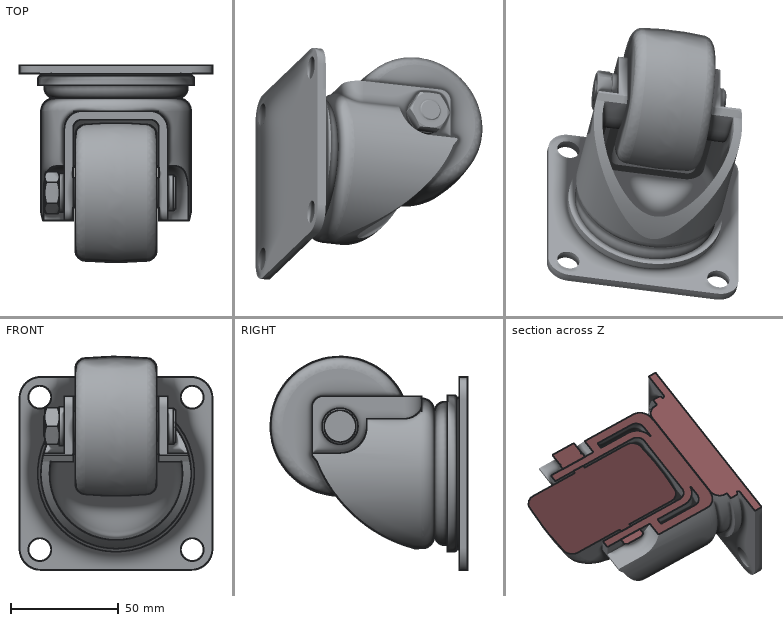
import cadquery as cq
import math


plate_size = 90.0
plate_thickness = 4.0
plate_corner_radius = 10.0
bolt_hole_spacing = 71.0
bolt_hole_diameter = 10.5

race_radius = 36.5
race_edge_fillet = 1.5
race_start = 5.0
race_end = 9.5
bell_radius = 33.5
bell_fillet = 5.0
bell_end = 15.5

sheet = 4.0
cup_radius = 35.0
cup_outer_fillet = 6.0
cup_floor_fillet = 3.75
strap_half_width = 24.0
strap_bend_radius = 8.0
strap_corner_radius = 5.0
strap_above_axle = 14.0
strap_margin = 13.0
pocket_radius = 12.5
shelf_nose_height = 1.1
skirt_arc_radius = 68.0
skirt_arc_start = 24.5
skirt_arc_end = 70.3

axle_y = -59.5
axle_z = 22.0
wheel_radius = 32.5
wheel_half_width = 19.0
crown_radius = 150.0
wheel_edge_fillet = 5.0
hub_radius = 7.0

shank_radius = 5.0
shank_end_chamfer = 0.5
shank_protrusion = 0.5
head_radius = 8.4
head_thickness = 3.75
head_chamfer = 1.0
flange_radius = 9.0
flange_thickness = 2.4
nut_flats = 17.0
nut_thickness = 6.8
nut_chamfer_angle = 30.0

cup_inner_radius = cup_radius - sheet
strap_start = bell_end + cup_outer_fillet
cup_floor = strap_start
strap_face = strap_start + sheet
strap_inner = strap_half_width - sheet
strap_top = axle_z + strap_above_axle
strap_bottom = axle_z - strap_margin
fork_end = strap_margin - axle_y
pocket_floor = axle_z - pocket_radius
shelf_underside = pocket_floor - sheet
shelf_nose_bottom = pocket_floor - shelf_nose_height
nut_face = strap_half_width + flange_thickness + nut_thickness
clearance = 10.0


def disc_along_y(radius, start, end):
    """Cylinder on the swivel axis between two depths below the mounting face."""
    return cq.Workplane("XZ").workplane(offset=start).circle(radius).extrude(end - start)


def disc_along_x(radius, start, end):
    """Cylinder on the wheel axle between two X positions."""
    plane = cq.Workplane("YZ", origin=(start, axle_y, axle_z))
    return plane.circle(radius).extrude(end - start)


def box_between(x_range, y_range, z_range):
    """Box given by its lower and upper limit along each axis."""
    sizes = [upper - lower for lower, upper in (x_range, y_range, z_range)]
    corner = (x_range[0], y_range[0], z_range[0])
    return cq.Workplane("XY").box(*sizes, centered=False).translate(corner)


def make_neck():
    """Concave collar flaring from the race's back edge onto the plate."""
    neck_radius = race_radius - race_edge_fillet
    flare = race_start - plate_thickness
    return (
        cq.Workplane("XY")
        .moveTo(0, -plate_thickness)
        .lineTo(neck_radius + flare, -plate_thickness)
        .radiusArc((neck_radius, -race_start), -flare)
        .lineTo(0, -race_start)
        .close()
        .revolve(360, (0, 0, 0), (0, 1, 0))
    )


def make_plate():
    plate = cq.Workplane("XZ").rect(plate_size, plate_size).extrude(plate_thickness)
    plate = plate.edges("|Y").fillet(plate_corner_radius)
    plate = (
        plate.faces("<Y").workplane()
        .rect(bolt_hole_spacing, bolt_hole_spacing, forConstruction=True)
        .vertices().hole(bolt_hole_diameter)
    )
    neck = make_neck()
    race = disc_along_y(race_radius, race_start, race_end).faces(">Y").edges().fillet(race_edge_fillet)
    bell = disc_along_y(bell_radius, race_end, bell_end).faces("<Y").edges().fillet(bell_fillet)
    return plate.union(neck).union(race).union(bell)


def fork_side_outline():
    """Prism along X that trims the fork to its profile across the axle."""
    skirt_top = cq.Vector(-skirt_arc_end, shelf_underside)
    skirt_foot = cq.Vector(-skirt_arc_start, -cup_radius)
    chord = skirt_top - skirt_foot
    sagitta = skirt_arc_radius - math.sqrt(skirt_arc_radius ** 2 - (chord.Length / 2) ** 2)
    outward = cq.Vector(-chord.y, chord.x).normalized()
    skirt_middle = (skirt_top + skirt_foot) * 0.5 + outward * sagitta
    return (
        cq.Workplane("YZ")
        .moveTo(-bell_end, strap_top)
        .lineTo(-bell_end, -cup_radius)
        .lineTo(skirt_foot.x, skirt_foot.y)
        .threePointArc((skirt_middle.x, skirt_middle.y), (skirt_top.x, skirt_top.y))
        .lineTo(-fork_end, shelf_nose_bottom)
        .lineTo(-fork_end, strap_top - strap_corner_radius)
        .radiusArc((-fork_end + strap_corner_radius, strap_top), strap_corner_radius)
        .close()
        .extrude(cup_radius, both=True)
    )


def strap_block(half_width, start, bend_radius, bottom, top):
    """Block filling a U outline open towards -Y, with its two bends rounded."""
    block = box_between(
        (-half_width, half_width), (-fork_end - clearance, -start), (bottom, top)
    )
    return block.edges("|Z and >Y").fillet(bend_radius)


def side_pockets(inner_x, growth):
    """Pair of recesses around the axle ends, widened all round by growth."""
    radius = pocket_radius + growth
    ceiling = strap_top + clearance
    depth = cup_radius + clearance - inner_x
    pocket = (
        cq.Workplane("YZ", origin=(inner_x, 0, 0))
        .moveTo(axle_y + radius, ceiling)
        .lineTo(axle_y + radius, axle_z)
        .radiusArc((axle_y, axle_z - radius), radius)
        .lineTo(-fork_end - clearance, axle_z - radius)
        .lineTo(-fork_end - clearance, ceiling)
        .close()
        .extrude(depth)
    )
    return pocket.union(pocket.mirror("YZ"))


def make_fork():
    cup = disc_along_y(cup_radius, bell_end, fork_end).faces(">Y").edges().fillet(cup_outer_fillet)
    strap = strap_block(strap_half_width, strap_start, strap_bend_radius, strap_bottom, strap_top)
    body = cup.union(strap).intersect(fork_side_outline())
    body = body.cut(side_pockets(strap_half_width, 0))

    slot_top = strap_top + clearance
    slot_bend_radius = strap_bend_radius - sheet
    slot = strap_block(strap_inner, strap_face, slot_bend_radius, strap_bottom, slot_top)
    hollow = disc_along_y(cup_inner_radius, cup_floor, fork_end + clearance)
    hollow = hollow.faces(">Y").edges().fillet(cup_floor_fillet)
    hollow = hollow.cut(strap).cut(side_pockets(strap_inner, sheet))
    body = body.cut(hollow).cut(slot)

    return body.cut(disc_along_x(shank_radius, -cup_radius, cup_radius))


def make_wheel():
    crown_centre = wheel_radius - crown_radius
    shoulder = crown_centre + math.sqrt(crown_radius ** 2 - wheel_half_width ** 2)
    tread = (
        cq.Workplane("XY")
        .moveTo(-wheel_half_width, 0)
        .lineTo(-wheel_half_width, shoulder)
        .threePointArc((0, wheel_radius), (wheel_half_width, shoulder))
        .lineTo(wheel_half_width, 0)
        .close()
        .revolve(360, (0, 0, 0), (1, 0, 0))
        .translate((0, axle_y, axle_z))
    )
    tread = tread.edges("%CIRCLE").fillet(wheel_edge_fillet)
    hub = disc_along_x(hub_radius, -strap_inner, strap_inner)
    return tread.union(hub).cut(disc_along_x(shank_radius, -strap_inner, strap_inner))


def make_bolt():
    shank_tip = nut_face + shank_protrusion
    shank = disc_along_x(shank_radius, -shank_tip, strap_half_width)
    shank = shank.faces("<X").edges().chamfer(shank_end_chamfer)
    head = disc_along_x(head_radius, strap_half_width, strap_half_width + head_thickness)
    head = head.faces(">X").edges().chamfer(head_chamfer)
    return shank.union(head)


def make_nut():
    nut_seat = nut_face - nut_thickness
    nut_corner_radius = nut_flats / math.sqrt(3)
    chamfer_width = nut_corner_radius - nut_flats / 2
    chamfer_depth = chamfer_width * math.tan(math.radians(nut_chamfer_angle))
    hexagon = (
        cq.Workplane("YZ", origin=(-nut_face, axle_y, axle_z))
        .polygon(6, 2 * nut_corner_radius)
        .extrude(nut_thickness)
    )
    rounding = disc_along_x(nut_corner_radius, -nut_face, -nut_seat)
    rounding = rounding.faces("<X or >X").edges().chamfer(chamfer_depth, chamfer_width)
    flange = disc_along_x(flange_radius, -nut_seat, -strap_half_width)
    nut = hexagon.intersect(rounding).union(flange)
    return nut.cut(disc_along_x(shank_radius, -nut_face, -strap_half_width))


plate = make_plate()
fork = make_fork()
wheel = make_wheel()
bolt = make_bolt()
nut = make_nut()

result = cq.Compound.makeCompound(
    [plate.val(), fork.val(), wheel.val(), bolt.val(), nut.val()]
)